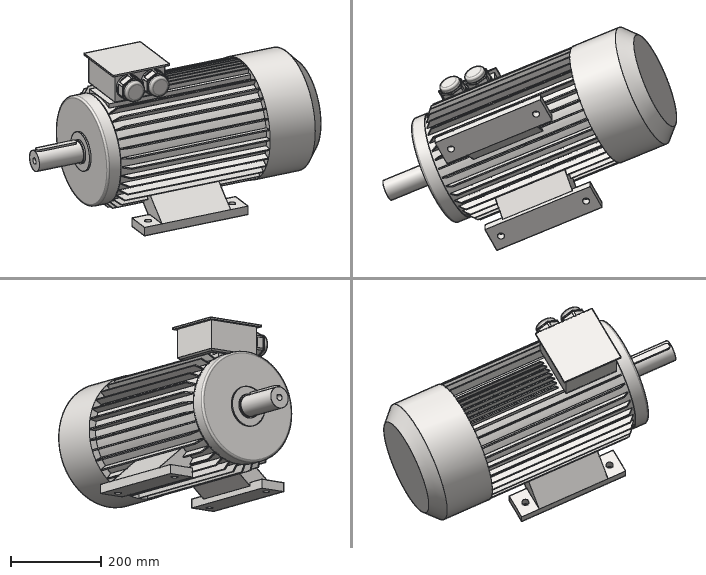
import cadquery as cq
import math


shaft_dia = 48.0
shaft_length = 110.0
shoulder_dia = 54.0
boss_dia = 90.0
boss_front = 114.0
centre_hole_dia = 14.0
centre_hole_depth = 20.0
drill_point_angle = 118.0
key_width = 14.0
key_start = 3.0
key_end = 105.0
key_top = 28.0

motor_length = 660.0
shield_dia = 250.0
shield_front = 118.0
shield_back = 152.0
shield_fillet = 4.5
body_dia = 245.0
cowl_dia = 280.0
cowl_front = 517.0
cowl_chamfer = 30.5

fin_thickness = 3.0
fin_tip_radius = 138.5
root_overlap = 6.5
tip_allowance = 6.5
fin_pitch_angle = 10
fin_first_angle = 120
fin_last_angle = 420
fin_front = 156.0
fin_full_height_front = 171.0
top_fin_pitch = 12.0
top_fins_per_side = 3
top_fin_front = 295.0
top_fin_full_height_front = 307.0

rail_width = 94.0
rail_top = 123.5
rail_front = 162.5

base_z = -160.0
foot_outer_x = 157.0
foot_inner_x = 96.5
foot_thickness = 20.5
foot_front = 193.5
foot_length = 259.5
web_length = 171.5
web_angle = 40.0
web_drop = 8.0
bolt_hole_dia = 15.0
bolt_spacing_x = 254.0
bolt_spacing_y = 210.0

box_centre_y = 231.0
box_side = 125.5
box_bottom = 129.0
box_chamfer = 4.0
lid_side = 141.0
lid_thickness = 4.0
lid_top = 201.0
pedestal_length = 94.0

gland_spacing = 61.5
gland_z = 165.0
gland_dia = 57.0
gland_hex_flats = 51.5
gland_hex_start = 68.5
gland_nut_flats = 49.5
gland_nut_start = 86.5
gland_nut_end = 90.5
gland_cap_dia = 48.0
gland_cap_end = 102.0
gland_cap_fillet = 6.0

body_radius = body_dia / 2
foot_top = base_z + foot_thickness
foot_centre_y = foot_front + foot_length / 2


def disc(diameter, y_start, y_end):
    """Solid cylinder on the motor axis between two Y positions."""
    plane = cq.Workplane("XZ", origin=(0, y_start, 0))
    return plane.circle(diameter / 2).extrude(y_start - y_end)


def block(x_size, y_size, centre_y, z_start, z_end):
    """Box centred on X = 0."""
    plane = cq.Workplane("XY", origin=(0, centre_y, z_start))
    return plane.rect(x_size, y_size).extrude(z_end - z_start)


def turned_envelope(front, full_height_front):
    """Fin envelope: a cylinder whose front end tapers down to the housing."""
    profile = [
        (0, front),
        (body_radius, front),
        (fin_tip_radius, full_height_front),
        (fin_tip_radius, cowl_front),
        (0, cowl_front),
    ]
    return cq.Workplane("XY").polyline(profile).close().revolve(360, (0, 0, 0), (0, 1, 0))


def make_housing():
    body = disc(body_dia, shield_back, cowl_front)
    shield = disc(shield_dia, shield_front, shield_back).faces("<Y").edges().fillet(shield_fillet)
    cowl = disc(cowl_dia, cowl_front, motor_length).faces(">Y").edges().chamfer(cowl_chamfer)
    rail_length = cowl_front - rail_front
    rail = block(rail_width, rail_length, rail_front + rail_length / 2, 0, rail_top)
    return body.union(shield).union(cowl).union(rail)


def make_shaft():
    shaft = disc(shaft_dia, 0, shield_back)
    shoulder = disc(shoulder_dia, shaft_length, shield_back)
    boss = disc(boss_dia, boss_front, shield_back)
    key_length = key_end - key_start
    key = (
        cq.Workplane("XY", origin=(0, key_start + key_length / 2, 0))
        .slot2D(key_length, key_width, 90)
        .extrude(key_top)
    )
    return shaft.union(shoulder).union(boss).union(key)


def make_centre_hole():
    radius = centre_hole_dia / 2
    point = radius / math.tan(math.radians(drill_point_angle / 2))
    profile = [
        (0, 0),
        (radius, 0),
        (radius, centre_hole_depth),
        (0, centre_hole_depth + point),
    ]
    return cq.Workplane("XY").polyline(profile).close().revolve(360, (0, 0, 0), (0, 1, 0))


def make_radial_fins():
    """Radial fins all round the housing except for the sector under the terminal box."""
    length = cowl_front - fin_front
    root = body_radius - root_overlap
    blade = cq.Workplane("XY").box(
        fin_tip_radius + tip_allowance - root, length, fin_thickness, centered=(False, False, True)
    ).translate((root, fin_front, 0))
    fins = cq.Workplane("XY")
    for angle in range(fin_first_angle, fin_last_angle + 1, fin_pitch_angle):
        fins = fins.add(blade.rotate((0, 0, 0), (0, 1, 0), -angle))
    return turned_envelope(fin_front, fin_full_height_front).intersect(fins.combine())


def make_top_fins():
    """Upright parallel fins on the rail, behind the terminal box."""
    length = cowl_front - top_fin_front
    centre_y = top_fin_front + length / 2
    fins = cq.Workplane("XY")
    for index in range(-top_fins_per_side, top_fins_per_side + 1):
        blade = block(fin_thickness, length, centre_y, body_radius - root_overlap, fin_tip_radius)
        fins = fins.add(blade.translate((index * top_fin_pitch, 0, 0)))
    return turned_envelope(top_fin_front, top_fin_full_height_front).intersect(fins.combine())


def make_foot():
    """Foot on the +X side: a drilled plate and a slanted web up to the housing."""
    plate_width = foot_outer_x - foot_inner_x
    plate = cq.Workplane("XY").box(
        plate_width, foot_length, foot_thickness, centered=(False, True, False)
    ).translate((foot_inner_x, foot_centre_y, base_z))

    slope = math.tan(math.radians(web_angle))
    inner_z = foot_top - web_drop
    web_top_x = body_radius * math.sin(math.radians(web_angle))
    web_profile = [
        (foot_outer_x, foot_top),
        (web_top_x, foot_top + (foot_outer_x - web_top_x) * slope),
        (web_top_x - plate_width, inner_z + (foot_inner_x - web_top_x + plate_width) * slope),
        (foot_inner_x, inner_z),
        (foot_inner_x, foot_top),
    ]
    web = (
        cq.Workplane("XZ", origin=(0, foot_centre_y, 0))
        .polyline(web_profile)
        .close()
        .extrude(web_length / 2, both=True)
    )
    holes = (
        cq.Workplane("XY", origin=(bolt_spacing_x / 2, foot_centre_y, base_z))
        .rarray(6.5, bolt_spacing_y, 1, 2)
        .circle(bolt_hole_dia / 2)
        .extrude(foot_thickness)
    )
    return plate.union(web).cut(holes)


def make_terminal_box():
    lid_bottom = lid_top - lid_thickness
    case = block(box_side, box_side, box_centre_y, box_bottom, lid_bottom)
    case = case.faces("<Z").edges().chamfer(box_chamfer)
    lid = block(lid_side, lid_side, box_centre_y, lid_bottom, lid_top)
    pedestal = block(rail_width, pedestal_length, box_centre_y, body_radius - root_overlap, box_bottom)
    return case.union(lid).union(pedestal)


def hex_section(x_start, x_end, across_flats):
    """Length of the gland with six flats on its round surface, two of them facing -Y and +Y."""
    across_corners = across_flats / math.cos(math.pi / 6)
    plane = cq.Workplane("YZ", origin=(x_start, 0, 0))
    hexagon = plane.transformed(rotate=(0, 0, 90)).polygon(6, across_corners).extrude(x_end - x_start)
    return hexagon.intersect(plane.circle(gland_dia / 2).extrude(x_end - x_start))


def make_gland():
    """Cable gland pointing along +X, with its axis on the X axis."""
    box_wall_x = box_side / 2
    collar = cq.Workplane("YZ", origin=(box_wall_x, 0, 0)).circle(gland_dia / 2)
    collar = collar.extrude(gland_hex_start - box_wall_x)
    hexagon = hex_section(gland_hex_start, gland_nut_start, gland_hex_flats)
    nut = hex_section(gland_nut_start, gland_nut_end, gland_nut_flats)
    cap = cq.Workplane("YZ", origin=(gland_nut_end, 0, 0)).circle(gland_cap_dia / 2)
    cap = cap.extrude(gland_cap_end - gland_nut_end).faces(">X").edges().fillet(gland_cap_fillet)
    return collar.union(hexagon).union(nut).union(cap)


foot = make_foot()
gland = make_gland()

result = make_housing().union(make_shaft()).cut(make_centre_hole())
result = result.union(make_radial_fins()).union(make_top_fins())
result = result.union(foot).union(foot.mirror("YZ"))
result = result.union(make_terminal_box())
for side in (-1, 1):
    result = result.union(gland.translate((0, box_centre_y + side * gland_spacing / 2, gland_z)))